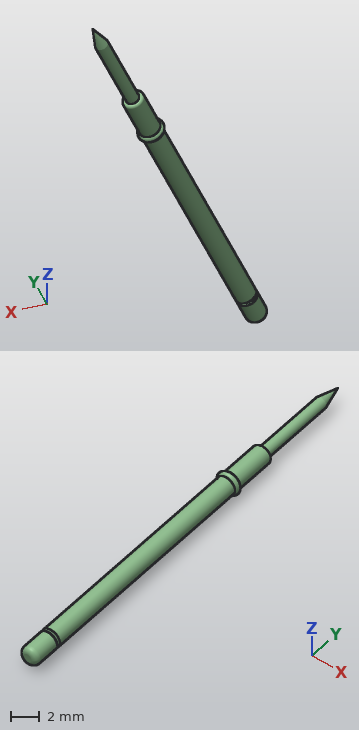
import cadquery as cq
import math

total_length = 34.3

plunger_radius = 1.0 / 2
tip_length = 1.9
plunger_length = 8.3

barrel_radius = 1.6 / 2
mouth_round = 0.2
tail_round = 0.45

collar_radius = 2.0 / 2
collar_front_from_tip = 11.85
collar_width = 0.55

groove_center = 2.45
groove_radius = 0.15

tip_base = total_length - tip_length
mouth = total_length - plunger_length
collar_front = total_length - collar_front_from_tip
collar_back = collar_front - collar_width
arc_mid_inset = 1 - math.sqrt(0.5)


def make_body():
    """Revolve the half profile; sketch x is the radius, sketch y the axis."""
    tail_arc_mid = (
        barrel_radius - tail_round * arc_mid_inset,
        tail_round * arc_mid_inset,
    )
    mouth_arc_mid = (
        barrel_radius - mouth_round * arc_mid_inset,
        mouth - mouth_round * arc_mid_inset,
    )
    profile = (
        cq.Workplane("XY")
        .moveTo(0, 0)
        .lineTo(barrel_radius - tail_round, 0)
        .threePointArc(tail_arc_mid, (barrel_radius, tail_round))
        .lineTo(barrel_radius, groove_center - groove_radius)
        .threePointArc(
            (barrel_radius - groove_radius, groove_center),
            (barrel_radius, groove_center + groove_radius),
        )
        .lineTo(barrel_radius, collar_back)
        .threePointArc(
            (collar_radius, collar_back + collar_width / 2),
            (barrel_radius, collar_front),
        )
        .lineTo(barrel_radius, mouth - mouth_round)
        .threePointArc(mouth_arc_mid, (barrel_radius - mouth_round, mouth))
        .lineTo(plunger_radius, mouth)
        .lineTo(plunger_radius, tip_base)
        .lineTo(0, total_length)
        .close()
    )
    return profile.revolve(360, (0, 0, 0), (0, 1, 0))


result = make_body()